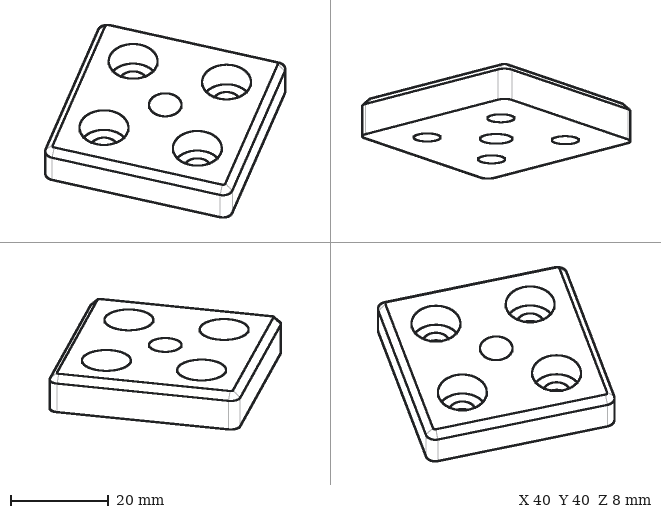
import cadquery as cq

side = 40.0
thickness = 8.0
corner_radius = 2.0
top_chamfer = 1.5

hole_spacing = side / 2
screw_hole_diameter = 5.5
counterbore_diameter = side / 4
counterbore_depth = 5.7
centre_hole_diameter = 6.65


def make_plate():
    """Square plate with rounded corners and a chamfered top edge, resting on Z = 0."""
    plate = cq.Workplane("XY").box(side, side, thickness, centered=(True, True, False))
    plate = plate.edges("|Z").fillet(corner_radius)
    return plate.faces(">Z").edges().chamfer(top_chamfer)


def cut_screw_holes(plate):
    """Counterbored through holes at the corners of a centred square."""
    return (
        plate.faces(">Z")
        .workplane()
        .rect(hole_spacing, hole_spacing, forConstruction=True)
        .vertices()
        .cboreHole(screw_hole_diameter, counterbore_diameter, counterbore_depth)
    )


def cut_centre_hole(plate):
    """Plain through hole in the middle of the plate."""
    return plate.faces(">Z").workplane().hole(centre_hole_diameter)


result = cut_centre_hole(cut_screw_holes(make_plate()))